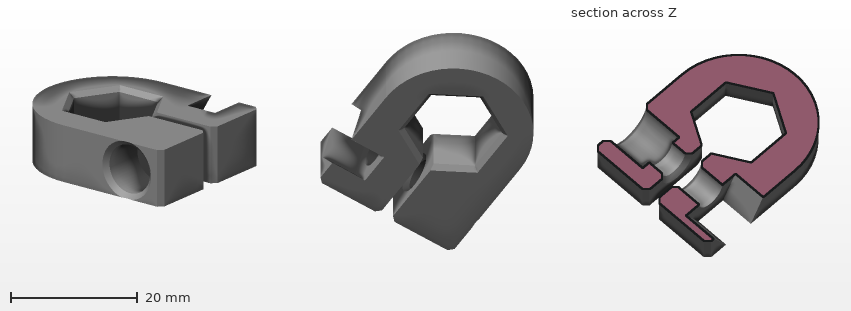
import cadquery as cq
import math

length = 32.25
width = 25.4
thickness = 9.52
corner_chamfer = 0.8
end_radius = width / 2
bore_x = end_radius
overcut = 0.32

bore_flats = 13.35
bore_chamfer = 0.8
slit_width = 2.05

screw_x = 25.35
screw_diameter = 5.15
head_diameter = 8.1
head_depth = 8.0
screw_chamfer = 0.8
nut_corners = 11.0
nut_depth = 6.2


def hex_corners(flats):
    """Corner-to-corner size of a hexagon with the given width across flats."""
    return flats / math.cos(math.pi / 6)


def cylinder_y(diameter, start_y, depth):
    """Cylinder on the screw axis, running from start_y toward +Y."""
    center = cq.Vector(screw_x, start_y, 0)
    return cq.Workplane(cq.Solid.makeCylinder(diameter / 2, depth, center, cq.Vector(0, 1, 0)))


def countersink(hole_diameter, face_y, inward):
    """45-degree cone widening a screw hole at face_y; inward is the Y direction into the jaw."""
    mouth_radius = hole_diameter / 2 + screw_chamfer
    center = cq.Vector(screw_x, face_y, 0)
    direction = cq.Vector(0, inward, 0)
    return cq.Workplane(
        cq.Solid.makeCone(mouth_radius, hole_diameter / 2, screw_chamfer, center, direction)
    )


def make_body():
    """D-shaped plate with chamfered corners at the open end."""
    return (
        cq.Workplane("XY", origin=(0, 0, -thickness / 2))
        .moveTo(bore_x, -end_radius)
        .lineTo(length, -end_radius)
        .lineTo(length, end_radius)
        .lineTo(bore_x, end_radius)
        .threePointArc((0, 0), (bore_x, -end_radius))
        .close()
        .extrude(thickness)
    )


def make_bore():
    """Through hexagon, widened by a chamfer at its top and bottom rims."""
    bore = (
        cq.Workplane("XY", origin=(bore_x, 0, -thickness / 2))
        .polygon(6, hex_corners(bore_flats))
        .extrude(thickness)
    )
    rim = (
        cq.Workplane("XY", origin=(bore_x, 0, thickness / 2))
        .polygon(6, hex_corners(bore_flats + 2 * bore_chamfer))
        .workplane(offset=-bore_chamfer)
        .polygon(6, hex_corners(bore_flats))
        .loft(ruled=True)
    )
    return bore.union(rim).union(rim.mirror("XY"))


def make_nut_pocket():
    """Hexagonal pocket whose flats just break through the top and bottom faces."""
    return (
        cq.Workplane("XZ", origin=(screw_x, end_radius + overcut, 0))
        .polygon(6, nut_corners)
        .extrude(nut_depth + overcut)
    )


slit = cq.Workplane("XY").box(length, slit_width, thickness, centered=(False, True, True))
slit = slit.translate((bore_x, 0, 0))

result = make_body().cut(slit)
result = result.edges("|Z and >X").chamfer(corner_chamfer)
result = result.cut(make_bore())
result = result.cut(cylinder_y(screw_diameter, -end_radius, width))
result = result.cut(cylinder_y(head_diameter, -end_radius, head_depth))
result = result.cut(countersink(head_diameter, -end_radius, 1))
for side in (-1, 1):
    result = result.cut(countersink(screw_diameter, side * slit_width / 2, side))
result = result.cut(make_nut_pocket())